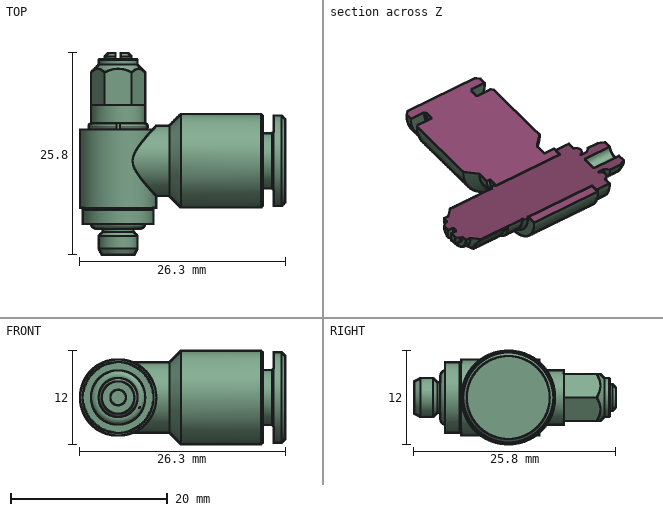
import cadquery as cq
import math


overall_length = 26.25

shaft_radius = 3.5

hub_radius = 4.88
hub_top = 4.02
hub_bottom = -6.0

branch_neck_radius = 4.52
branch_neck_end = 6.54
collar_radius = 12.0 / 2
collar_start = branch_neck_end + collar_radius - branch_neck_radius
collar_end = 18.5
collar_edge_chamfer = 0.25

ring_neck_radius = 3.55
ring_relief = 0.2
ring_flange_radius = 5.8
ring_flange_start = 19.87
ring_end = overall_length - hub_radius
ring_chamfer = 0.5

flange_radius = 9.05 / 2
flange_bevel_width = 0.1
flange_bevel_height = 0.24
flange_bottom = -8.08

stub_radius = 2.5
stub_neck_radius = 1.97
stub_neck_end = -9.05
stub_bottom = -12.02
stub_tip_radius = 2.07
stub_tip_length = 0.81
stub_hole_radius = 1.0

seal_outer_radius = 3.5
seal_height = 0.6
seal_tube_radius = (seal_outer_radius - stub_neck_radius) / 2
seal_center_radius = stub_neck_radius + seal_tube_radius
seal_center = flange_bottom - seal_height + seal_tube_radius

hex_bottom = 7.11
hex_across_flats = 6.0
hex_across_corners = hex_across_flats / math.cos(math.pi / 6)
head_collar_radius = 2.5
head_collar_bottom = 12.28
head_collar_top = 13.0
head_collar_chamfer = 0.1

screw_radius = 1.73
screw_tip_radius = 1.29
screw_shoulder = 13.34
screw_top = 13.78
slot_width = 0.65

snap_tube_radius = 0.75 / 2
snap_gap = 0.42
snap_groove_depth = 0.08
snap_groove_width = 0.85
snap_center_radius = shaft_radius - snap_groove_depth


def revolve_about_x(points):
    return cq.Workplane("XY").polyline(points).close().revolve(360, (0, 0, 0), (1, 0, 0))


def revolve_about_y(points):
    return cq.Workplane("XY").polyline(points).close().revolve(360, (0, 0, 0), (0, 1, 0))


def cylinder_along_y(radius, start, end):
    return cq.Workplane("XZ", origin=(0, start, 0)).circle(radius).extrude(start - end)


def torus_about_y(center_radius, tube_radius, height):
    tube = cq.Workplane("XY").center(center_radius, height).circle(tube_radius)
    return tube.revolve(360, (-center_radius, 0, 0), (-center_radius, 1, 0))


def make_elbow():
    hub = cylinder_along_y(hub_radius, hub_bottom, hub_top)
    branch = revolve_about_x([
        (0, 0),
        (0, branch_neck_radius),
        (branch_neck_end, branch_neck_radius),
        (collar_start, collar_radius),
        (collar_end - collar_edge_chamfer, collar_radius),
        (collar_end, collar_radius - collar_edge_chamfer),
        (collar_end, ring_neck_radius),
        (ring_flange_start - ring_relief, ring_neck_radius),
        (ring_flange_start, ring_neck_radius + ring_relief),
        (ring_flange_start, ring_flange_radius),
        (ring_end - ring_chamfer, ring_flange_radius),
        (ring_end, ring_flange_radius - ring_chamfer),
        (ring_end, 0),
    ])
    headroom = cylinder_along_y(hub_radius, hub_top, branch_neck_radius)
    bore = cylinder_along_y(shaft_radius, hub_bottom, hub_top)
    return hub.union(branch).cut(headroom).cut(bore)


def make_lower_valve():
    """Grooved shaft, seat flange and drilled threaded stub."""
    turned = revolve_about_y([
        (0, hex_bottom),
        (shaft_radius, hex_bottom),
        (shaft_radius, hub_top + snap_groove_width),
        (snap_center_radius, hub_top + snap_groove_width),
        (snap_center_radius, hub_top),
        (shaft_radius, hub_top),
        (shaft_radius, hub_bottom),
        (flange_radius - flange_bevel_width, hub_bottom),
        (flange_radius, hub_bottom - flange_bevel_height),
        (flange_radius, flange_bottom),
        (stub_neck_radius, flange_bottom),
        (stub_neck_radius, stub_neck_end),
        (stub_radius, stub_neck_end - (stub_radius - stub_neck_radius)),
        (stub_radius, stub_bottom + stub_tip_length),
        (stub_tip_radius, stub_bottom),
        (0, stub_bottom),
    ])
    seal = torus_about_y(seal_center_radius, seal_tube_radius, seal_center)
    hole = cylinder_along_y(stub_hole_radius, stub_bottom, flange_bottom)
    return turned.union(seal).cut(hole)


def make_hex_head():
    """Hexagon with two flats facing Z, its top corners turned to a 45 degree cone."""
    prism = (
        cq.Workplane("XZ", origin=(0, hex_bottom, 0))
        .polygon(6, hex_across_corners)
        .extrude(hex_bottom - head_collar_top)
    )
    corner_radius = hex_across_corners / 2
    envelope = revolve_about_y([
        (0, hex_bottom),
        (corner_radius, hex_bottom),
        (corner_radius, head_collar_bottom - (corner_radius - head_collar_radius)),
        (head_collar_radius, head_collar_bottom),
        (head_collar_radius, head_collar_top - head_collar_chamfer),
        (head_collar_radius - head_collar_chamfer, head_collar_top),
        (0, head_collar_top),
    ])
    return prism.intersect(envelope)


def make_screw_tip():
    tip = revolve_about_y([
        (0, head_collar_top),
        (screw_radius, head_collar_top),
        (screw_radius, screw_shoulder),
        (screw_tip_radius, screw_top),
        (0, screw_top),
    ])
    slot_depth = screw_top - head_collar_top
    slot = cq.Workplane("XY").box(slot_width, slot_depth, 2 * screw_radius)
    return tip.cut(slot.translate((0, head_collar_top + slot_depth / 2, 0)))


def make_snap_ring():
    ring_height = hub_top + snap_tube_radius
    ring = torus_about_y(snap_center_radius, snap_tube_radius, ring_height)
    gap_depth = 2 * snap_tube_radius
    gap = cq.Workplane("XY").box(snap_gap, gap_depth, 2 * gap_depth)
    return ring.cut(gap.translate((0, ring_height, snap_center_radius)))


def make_valve():
    valve = make_lower_valve()
    valve = valve.union(make_hex_head())
    valve = valve.union(make_screw_tip())
    return valve.union(make_snap_ring())


elbow = make_elbow()
valve = make_valve()

result = cq.Compound.makeCompound([elbow.solids().val(), valve.solids().val()])